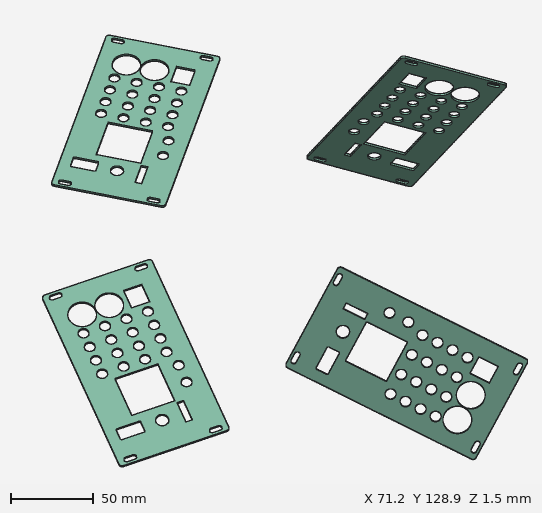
import cadquery as cq

width = 71.2
height = 128.9
thickness = 1.5
corner_radius = 2.0

slot_length = 8.0
slot_width = 3.4
slot_x = 27.7
slot_y = 61.1

large_diameter = 17.3
large_pitch = 17.5
large_y = 43.5

small_diameter = 6.6
grid_columns = 4
grid_rows = 4
column_pitch = 13.9
row_pitch = 10.2
grid_left = -21.7
grid_bottom = 0.3
grid_points = [
    (grid_left + column * column_pitch, grid_bottom + row * row_pitch)
    for column in range(grid_columns)
    for row in range(grid_rows)
]

side_x = 23.5
side_points = [(side_x, -11.1), (side_x, -23.8)]

lower_diameter = 8.0
lower_y = -43.3

switch_center = (17.8, 43.3)
switch_size = (11.7, 13.1)
display_center = (-1.8, -19.6)
display_size = (27.8, 27.8)
narrow_center = (15.0, -42.5)
narrow_size = (4.1, 14.6)
socket_center = (-20.4, -43.0)
socket_size = (15.9, 8.3)
socket_radius = 0.8


def round_cutter(points, diameter):
    return cq.Workplane("XY").pushPoints(points).circle(diameter / 2).extrude(thickness)


def window_cutter(center, size):
    return cq.Workplane("XY").center(*center).rect(*size).extrude(thickness)


panel = cq.Workplane("XY").rect(width, height).extrude(thickness)
panel = panel.edges("|Z").fillet(corner_radius)

slots = (
    cq.Workplane("XY")
    .rect(2 * slot_x, 2 * slot_y, forConstruction=True)
    .vertices()
    .slot2D(slot_length, slot_width)
    .extrude(thickness)
)
panel = panel.cut(slots)

panel = panel.cut(round_cutter([(-large_pitch, large_y), (0, large_y)], large_diameter))
panel = panel.cut(round_cutter(grid_points + side_points, small_diameter))
panel = panel.cut(round_cutter([(0, lower_y)], lower_diameter))

panel = panel.cut(window_cutter(switch_center, switch_size))
panel = panel.cut(window_cutter(display_center, display_size))
panel = panel.cut(window_cutter(narrow_center, narrow_size))
socket = window_cutter(socket_center, socket_size).edges("|Z").fillet(socket_radius)
panel = panel.cut(socket)

result = panel